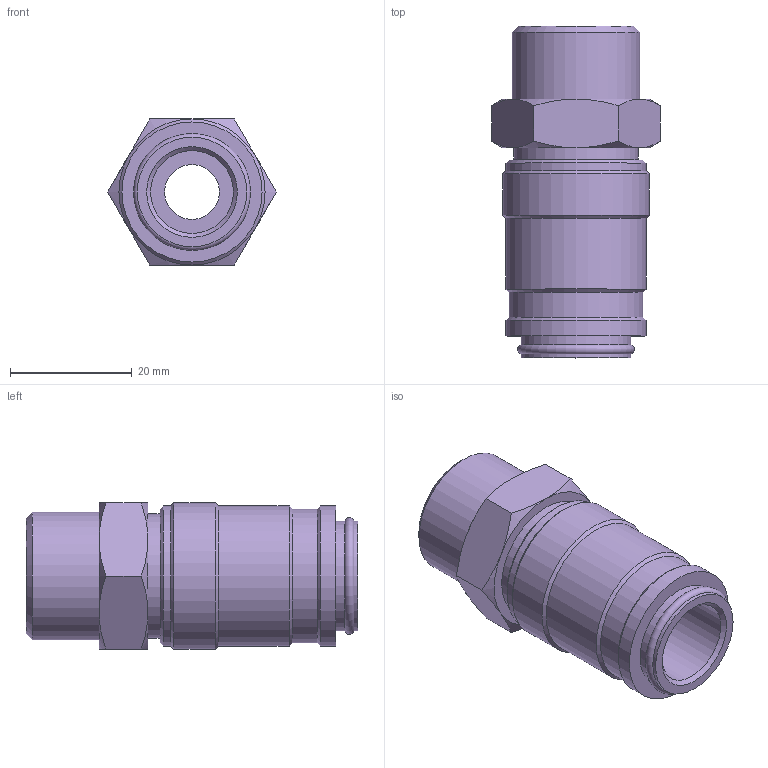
import cadquery as cq
import math


flange_front = 3.6
flange_back = 6.65
grip_front = 10.8
collar_front = 22.9
collar_back = 30.75
body_back = 32.5
hex_front = 34.5
hex_length = 8.0
thread_length = 12.0
hex_back = hex_front + hex_length
overall_length = hex_back + thread_length

spigot_radius = 9.0
groove_radius = 11.0
body_radius = 11.5
collar_radius = 12.0
neck_radius = 10.25
thread_radius = 20.955 / 2

edge_chamfer = 0.5
thread_chamfer = 1.0

ring_centre = 1.4
ring_half_width = 0.75
ring_radius = 9.6

hex_across_flats = 24.0
hex_corner_radius = hex_across_flats / math.sqrt(3)
hex_chamfer_angle = math.radians(30)

socket_radius = 6.8
socket_depth = hex_front
socket_chamfer = 0.65
through_radius = 4.5


def revolve_about_y(profile):
    """Turn a closed profile, drawn as (radius, Y), into a solid."""
    return profile.close().revolve(360, (0, 0, 0), (0, 1, 0))


def turned_body():
    """Outside of the coupling without the hexagon flats."""
    profile = (
        cq.Workplane("XY")
        .moveTo(0, 0)
        .lineTo(spigot_radius, 0)
        .lineTo(spigot_radius, ring_centre - ring_half_width)
        .threePointArc((ring_radius, ring_centre), (spigot_radius, ring_centre + ring_half_width))
        .lineTo(spigot_radius, flange_front)
        .lineTo(body_radius, flange_front)
        .lineTo(body_radius, flange_back - edge_chamfer)
        .lineTo(groove_radius, flange_back)
        .lineTo(groove_radius, grip_front)
        .lineTo(body_radius, grip_front + edge_chamfer)
        .lineTo(body_radius, collar_front)
        .lineTo(collar_radius, collar_front + edge_chamfer)
        .lineTo(collar_radius, collar_back - edge_chamfer)
        .lineTo(body_radius, collar_back)
        .lineTo(body_radius, body_back - edge_chamfer)
        .lineTo(body_radius - edge_chamfer, body_back)
        .lineTo(neck_radius, body_back)
        .lineTo(neck_radius, hex_back)
        .lineTo(thread_radius, hex_back)
        .lineTo(thread_radius, overall_length - thread_chamfer)
        .lineTo(thread_radius - thread_chamfer, overall_length)
        .lineTo(0, overall_length)
    )
    return revolve_about_y(profile)


def hexagon():
    """Hexagon with corners on +X and -X, both ends turned to a cone that touches the flats."""
    flats_radius = hex_across_flats / 2
    cone_depth = (hex_corner_radius - flats_radius) * math.tan(hex_chamfer_angle)
    prism = (
        cq.Workplane("XZ", origin=(0, hex_front, 0))
        .polygon(6, 2 * hex_corner_radius)
        .extrude(-hex_length)
    )
    envelope = revolve_about_y(
        cq.Workplane("XY")
        .moveTo(0, hex_front)
        .lineTo(flats_radius, hex_front)
        .lineTo(hex_corner_radius, hex_front + cone_depth)
        .lineTo(hex_corner_radius, hex_back - cone_depth)
        .lineTo(flats_radius, hex_back)
        .lineTo(0, hex_back)
    )
    return prism.intersect(envelope)


def bores():
    """Chamfered socket from the spigot tip, continued by a smaller through hole."""
    profile = (
        cq.Workplane("XY")
        .moveTo(0, 0)
        .lineTo(socket_radius + socket_chamfer, 0)
        .lineTo(socket_radius, socket_chamfer)
        .lineTo(socket_radius, socket_depth)
        .lineTo(through_radius, socket_depth)
        .lineTo(through_radius, overall_length)
        .lineTo(0, overall_length)
    )
    return revolve_about_y(profile)


result = turned_body().union(hexagon()).cut(bores())